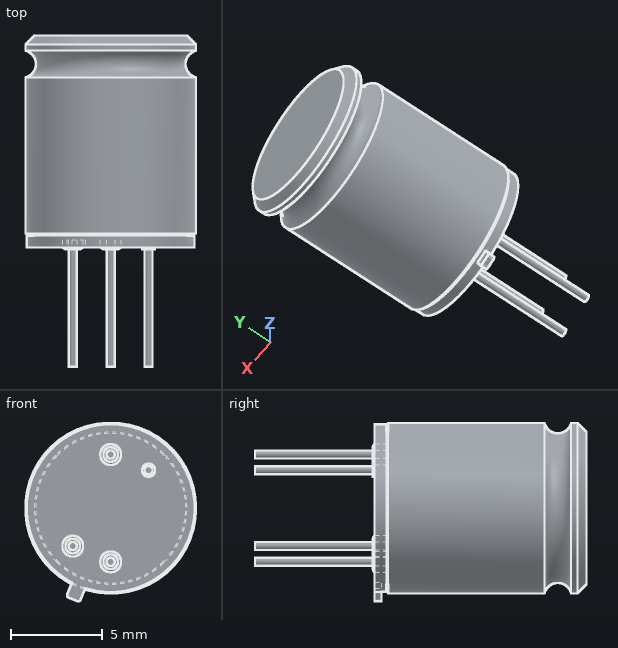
import cadquery as cq
import math


can_radius = 4.65
can_end_y = 11.55
end_chamfer = 0.5
end_land = 0.34
groove_width = 1.45
groove_depth = 0.57

header_radius = 4.57
header_thickness = 0.65
neck_radius = 4.15
neck_length = 0.1
can_open_y = header_thickness + neck_length
tab_angle = 22.5
tab_width = 0.8
tab_thickness = 0.4
tab_reach = 5.38
tab_corner_radius = 0.15

lead_circle_radius = 2.92
lead_radius = 0.225
lead_length = 6.5
seal_radius = 0.57
seal_tip_radius = 0.4
seal_height = 0.1
ground_head_radius = 0.36
ground_head_height = 0.1

sealed_lead_angles = (90, 225, 270)
ground_lead_angle = 45


def lead_position(angle):
    """X and Z of a lead at the given angle on the lead circle."""
    turn = math.radians(angle)
    return lead_circle_radius * math.cos(turn), lead_circle_radius * math.sin(turn)


def cylinder(radius, start_y, end_y, center=(0, 0)):
    """Cylinder along Y between two Y positions, centred on the given X and Z."""
    x, z = center
    solid = cq.Solid.makeCylinder(
        radius, end_y - start_y, cq.Vector(x, start_y, z), cq.Vector(0, 1, 0)
    )
    return cq.Workplane(obj=solid)


def make_can():
    """Solid of revolution with a chamfered closed end and a rounded groove."""
    groove_end_y = can_end_y - end_chamfer - end_land
    groove_start_y = groove_end_y - groove_width
    groove_middle_y = (groove_start_y + groove_end_y) / 2
    return (
        cq.Workplane("XY")
        .moveTo(0, can_open_y)
        .lineTo(can_radius, can_open_y)
        .lineTo(can_radius, groove_start_y)
        .threePointArc((can_radius - groove_depth, groove_middle_y), (can_radius, groove_end_y))
        .lineTo(can_radius, can_end_y - end_chamfer)
        .lineTo(can_radius - end_chamfer, can_end_y)
        .lineTo(0, can_end_y)
        .close()
        .revolve(360, (0, 0, 0), (0, 1, 0))
    )


def make_tab():
    """Radial tab with rounded outer corners, flush with the outer header face."""
    return (
        cq.Workplane("XY")
        .box(tab_width, tab_thickness, tab_reach, centered=(True, False, False))
        .edges("|Y and >Z")
        .fillet(tab_corner_radius)
        .rotate((0, 0, 0), (0, 1, 0), 180 + tab_angle)
    )


def make_header():
    """Flange, tab and the neck that meets the can, bored for the glass seals."""
    header = cylinder(header_radius, 0, header_thickness)
    header = header.union(cylinder(neck_radius, header_thickness, can_open_y))
    header = header.union(make_tab())
    for angle in sealed_lead_angles:
        header = header.cut(cylinder(seal_radius, 0, can_open_y, lead_position(angle)))
    return header


def make_seal(angle):
    """Glass seal filling its header bore, with a conical outer end."""
    x, z = lead_position(angle)
    cone = cq.Solid.makeCone(
        seal_radius, seal_tip_radius, seal_height, cq.Vector(x, 0, z), cq.Vector(0, -1, 0)
    )
    seal = cylinder(seal_radius, 0, can_open_y, (x, z)).union(cq.Workplane(obj=cone))
    return seal.cut(cylinder(lead_radius, -seal_height, can_open_y, (x, z)))


def make_sealed_lead(angle):
    """Straight lead passing through its glass seal."""
    return cylinder(lead_radius, -lead_length, can_open_y, lead_position(angle))


def make_ground_lead():
    """Lead whose flat head sits on the outer header face."""
    position = lead_position(ground_lead_angle)
    head = cylinder(ground_head_radius, -ground_head_height, 0, position)
    return head.union(cylinder(lead_radius, -lead_length, 0, position))


can = make_can().solids()
header = make_header().solids()
seals = [make_seal(angle).solids().val() for angle in sealed_lead_angles]
sealed_leads = [make_sealed_lead(angle).val() for angle in sealed_lead_angles]
ground_lead = make_ground_lead().solids()

result = cq.Compound.makeCompound(
    [can.val(), header.val(), *seals, *sealed_leads, ground_lead.val()]
)